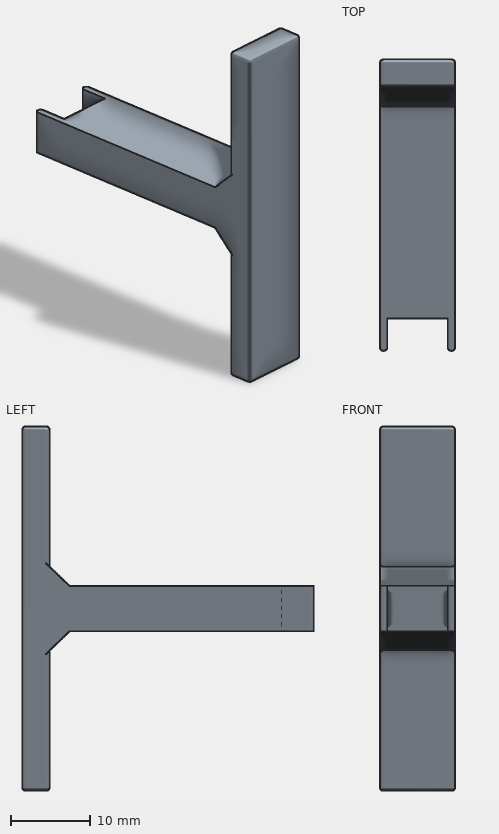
import cadquery as cq

width = 9.5
bar_height = 46.0
total_depth = 36.8
bar_thickness = 3.5
edge_radius = 0.5

stem_height = 5.75
gusset_depth = 2.5
gusset_rise = 2.4
prong_length = 4.1
prong_thickness = 0.95

front_y = -total_depth
stem_end_y = front_y + prong_length
bar_front_y = -bar_thickness
gusset_back_y = bar_front_y + edge_radius
gusset_front_y = bar_front_y - gusset_depth
gusset_slope = gusset_rise / gusset_depth
gusset_top_z = stem_height / 2 + gusset_slope * (gusset_back_y - gusset_front_y)


def make_crossbar():
    """Upright bar with all edges rounded, its back face on Y = 0."""
    bar = cq.Workplane("XY").box(width, bar_thickness, bar_height)
    return bar.edges().fillet(edge_radius).translate((0, -bar_thickness / 2, 0))


def make_stem():
    """Stem and both gussets, one side profile extruded over the full width."""
    half_height = stem_height / 2
    profile = [
        (stem_end_y, -half_height),
        (gusset_front_y, -half_height),
        (gusset_back_y, -gusset_top_z),
        (gusset_back_y, gusset_top_z),
        (gusset_front_y, half_height),
        (stem_end_y, half_height),
    ]
    return cq.Workplane("YZ").polyline(profile).close().extrude(width / 2, both=True)


def make_prong(center_x):
    """Prong at the stem's free end, its tip a full half round about Z."""
    tip_radius = prong_thickness / 2
    round_start_y = front_y + tip_radius
    outline = (
        cq.Workplane("XY", origin=(center_x, 0, -stem_height / 2))
        .moveTo(-tip_radius, stem_end_y)
        .lineTo(-tip_radius, round_start_y)
        .threePointArc((0, front_y), (tip_radius, round_start_y))
        .lineTo(tip_radius, stem_end_y)
        .close()
    )
    return outline.extrude(stem_height)


result = make_crossbar().union(make_stem())
for side in (-1, 1):
    result = result.union(make_prong(side * (width - prong_thickness) / 2))